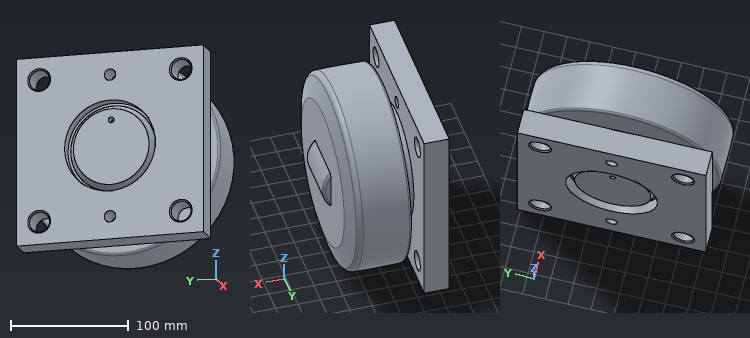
import cadquery as cq
import math

plate_side = 165.2
plate_thickness = 22.5
hole_offset = 62.5
bolt_hole_radius = 8.8
bolt_chamfer = 1.2
dowel_hole_radius = 5.0

neck_radius = 51.7
collar_radius = 54.0
collar_thickness = 0.7

roller_radius = 87.8
crown_radius = 500.7
roller_back = 34.6
roller_front = 88.0
back_fillet = 2.0
front_fillet = 5.3
crown_end = 77.7
front_face_radius = 65.0
cone_angle = math.radians(16)

side_roller_radius = 26.0
side_roller_length = 49.4
side_roller_fillet = 2.5
overall_length = 95.0

bore_radius = 40.0
bore_depth = 10.7
pin_radius = 37.6
pin_recess = 3.9
pin_chamfer_width = 4.2
pin_chamfer_length = 6.3
grease_hole_radius = 2.5
grease_hole_depth = 10.5
grease_hole_offset = 23.7


def disc(radius, start, length):
    """Cylinder on the X axis."""
    return cq.Workplane("YZ", origin=(start, 0, 0)).circle(radius).extrude(length)


def make_roller():
    """Crowned roller with rounded rims and a conical front shoulder."""
    crown_start = roller_back + back_fillet
    crown_middle = (crown_start + crown_end) / 2
    half_width = (crown_end - crown_start) / 2
    edge_radius = roller_radius - crown_radius + math.sqrt(crown_radius**2 - half_width**2)

    cone_start = (
        crown_end + front_fillet * math.cos(cone_angle),
        edge_radius - front_fillet * (1 - math.sin(cone_angle)),
    )
    quarter_turn = math.radians(45)
    back_arc_inset = back_fillet * (1 - math.sin(quarter_turn))
    arc_angle = (math.pi / 2 + cone_angle) / 2
    front_arc_middle = (
        crown_end + front_fillet * math.cos(arc_angle),
        edge_radius - front_fillet * (1 - math.sin(arc_angle)),
    )
    profile = (
        cq.Workplane("XY")
        .moveTo(roller_back, 0)
        .lineTo(roller_back, edge_radius - back_fillet)
        .threePointArc(
            (roller_back + back_arc_inset, edge_radius - back_arc_inset),
            (crown_start, edge_radius),
        )
        .threePointArc((crown_middle, roller_radius), (crown_end, edge_radius))
        .threePointArc(front_arc_middle, cone_start)
        .lineTo(roller_front, front_face_radius)
        .lineTo(roller_front, 0)
        .close()
    )
    return profile.revolve(360, (0, 0, 0), (1, 0, 0))


def make_side_roller():
    """Cylinder along Y with rounded ends, sunk into the front of the roller."""
    return (
        cq.Workplane("XZ", origin=(overall_length - side_roller_radius, side_roller_length / 2, 0))
        .circle(side_roller_radius)
        .extrude(side_roller_length)
        .edges()
        .fillet(side_roller_fillet)
    )


def make_plate():
    """Square plate with four chamfered bolt holes and two dowel holes."""
    plate = cq.Workplane("YZ").rect(plate_side, plate_side).extrude(plate_thickness)
    mouth = cq.Workplane(
        cq.Solid.makeCone(
            bolt_hole_radius + bolt_chamfer, bolt_hole_radius, bolt_chamfer, dir=cq.Vector(1, 0, 0)
        )
    )
    for y in (-hole_offset, hole_offset):
        for z in (-hole_offset, hole_offset):
            bolt_hole = disc(bolt_hole_radius, 0, plate_thickness)
            plate = plate.cut(bolt_hole.union(mouth).translate((0, y, z)))
    for z in (-hole_offset, hole_offset):
        plate = plate.cut(disc(dowel_hole_radius, 0, plate_thickness).translate((0, 0, z)))
    return plate


def make_pin_end():
    """Steeply chamfered end of the pin, rising from the floor of the bore."""
    face_radius = pin_radius - pin_chamfer_width
    chamfer_end = pin_recess + pin_chamfer_length
    profile = cq.Workplane("XY").polyline(
        [
            (pin_recess, 0),
            (pin_recess, face_radius),
            (chamfer_end, pin_radius),
            (bore_depth, pin_radius),
            (bore_depth, 0),
        ]
    ).close()
    return profile.revolve(360, (0, 0, 0), (1, 0, 0))


def make_grease_hole():
    """Small blind hole in the pin face with a conical bottom."""
    hole_end = pin_recess + grease_hole_depth
    profile = cq.Workplane("XY").polyline(
        [
            (pin_recess, 0),
            (pin_recess, grease_hole_radius),
            (hole_end - grease_hole_radius, grease_hole_radius),
            (hole_end, 0),
        ]
    ).close()
    return profile.revolve(360, (0, 0, 0), (1, 0, 0)).translate((0, 0, grease_hole_offset))


neck = disc(neck_radius, plate_thickness, roller_back - plate_thickness)
collar = disc(collar_radius, roller_back - collar_thickness, collar_thickness)
bore = disc(bore_radius, 0, bore_depth)

result = (
    make_plate()
    .cut(bore)
    .union(make_pin_end())
    .cut(make_grease_hole())
    .union(neck)
    .union(collar)
    .union(make_roller())
    .union(make_side_roller())
)